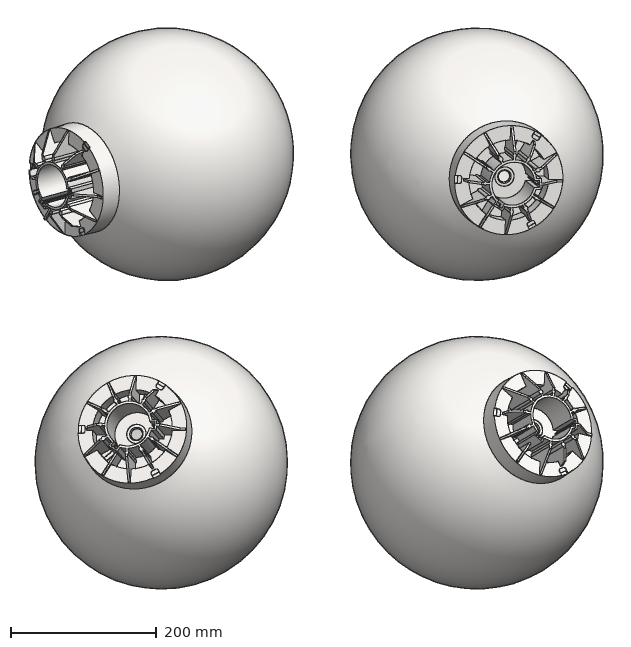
import cadquery as cq
import math


globe_diameter = 346.5
globe_radius = globe_diameter / 2
globe_wall = 3.0
seat_height = 157.0

overlap = 1.0

overall_length = 384.98
holder_tip = overall_length - globe_radius
ring_height = 186.0
collar_seat_radius = 77.1
ring_radius = 76.2
recess_radius = 56.0
floor_thickness = 4.0
floor_height = seat_height + floor_thickness
tube_height = holder_tip - floor_height

bore_radius = 30.0
tube_wall = 3.5
tube_radius = bore_radius + tube_wall
cable_hole_radius = 8.0
cable_hole_chamfer = 1.5
cable_seat_radius = 13.5
cable_seat_depth = 1.0

rib_count = 12
rib_pitch = 360 / rib_count
rib_thickness = 3.0
rib_tip_radius = 45.0
rib_end_radius = 75.5
rib_toe_height = 0.8
holder_turn = -3.3

short_ribs = (2, 6, 10)
short_rib_end_radius = 64.0
short_rib_shoulder_radius = 60.5

toe_rib = 0
toe_rib_tip_radius = 43.5
toe_rib_slope_radius = 67.5
low_rib = 8
low_height = 3.0

large_bead_radius = 3.0
small_bead_radius = 2.6
bead_position = 39.3
large_bead_ribs = (1, 4, 7, 10)

key_ribs = (toe_rib, low_rib)
key_width = 10.0
key_wall = 2.5
key_depth_radius = 37.0
key_fin_thickness = 1.5
key_fin_length = 4.0

notch_width = 11.0
notch_inner_radius = 66.5
notch_depth = 1.2
notch_corner_radius = 3.0
notch_step_radius = 72.0

flat_distance = 55.2
flat_angle = 225.0

bar_angles = (77.8, 222.0)
bar_width = 5.5
bar_height = 3.0


def at_angle(body, angle):
    return body.rotate((0, 0, 0), (0, 0, 1), angle)


def disc(radius, base, height):
    return cq.Workplane("XY").workplane(offset=base).circle(radius).extrude(height)


def radial_block(inner, outer, width, base, height):
    """Block along +X between two distances from the axis."""
    return (
        cq.Workplane("XY")
        .box(outer - inner, width, height, centered=(False, True, False))
        .translate((inner, 0, base))
    )


def make_globe():
    inner_radius = globe_radius - globe_wall
    outer_mouth = math.sqrt(globe_radius**2 - seat_height**2)
    inner_mouth = math.sqrt(inner_radius**2 - seat_height**2)
    return (
        cq.Workplane("XY")
        .moveTo(0, globe_radius)
        .radiusArc((-globe_radius, 0), -globe_radius)
        .radiusArc((-outer_mouth, -seat_height), -globe_radius)
        .lineTo(-inner_mouth, -seat_height)
        .radiusArc((-inner_radius, 0), inner_radius)
        .radiusArc((0, inner_radius), inner_radius)
        .close()
        .revolve(360, (0, 0, 0), (0, 1, 0))
    )


def make_collar():
    """Slightly tapered collar with a round recess down to the floor."""
    return (
        cq.Workplane("XZ")
        .moveTo(0, seat_height)
        .lineTo(collar_seat_radius, seat_height)
        .lineTo(ring_radius, ring_height)
        .lineTo(recess_radius, ring_height)
        .lineTo(recess_radius, floor_height)
        .lineTo(0, floor_height)
        .close()
        .revolve(360, (0, 0, 0), (0, 1, 0))
    )


def make_rib(outline):
    """Rib along +X; outline lists its (radius, height) points from the ring to the tube."""
    foot_radius = outline[0][0]
    return (
        cq.Workplane("XZ")
        .moveTo(bore_radius, floor_height)
        .lineTo(recess_radius, floor_height)
        .lineTo(recess_radius, ring_height)
        .lineTo(foot_radius, ring_height)
        .polyline(outline, includeCurrent=True)
        .lineTo(bore_radius, outline[-1][1])
        .close()
        .extrude(rib_thickness / 2, both=True)
    )


def rib_outline(index):
    toe_height = ring_height + rib_toe_height
    low_top = ring_height + low_height
    tip = (rib_tip_radius, holder_tip)
    if index == low_rib:
        return [(rib_end_radius, low_top)]
    if index == toe_rib:
        return [
            (rib_end_radius, low_top),
            (toe_rib_slope_radius, low_top),
            (toe_rib_tip_radius, holder_tip),
        ]
    if index in short_ribs:
        slope = (holder_tip - toe_height) / (rib_end_radius - rib_tip_radius)
        shoulder_height = toe_height + slope * (rib_end_radius - short_rib_shoulder_radius)
        return [
            (short_rib_end_radius, toe_height),
            (short_rib_shoulder_radius, shoulder_height),
            tip,
        ]
    return [(rib_end_radius, toe_height), tip]


def make_bead(radius):
    return disc(radius, floor_height, tube_height).translate((bead_position, 0, 0))


def make_notch():
    """Notch open to the ring edge, one step deeper near the edge."""
    past_edge = collar_seat_radius + overlap
    shallow = (
        radial_block(notch_inner_radius, past_edge, notch_width, ring_height - notch_depth, notch_depth)
        .edges("|Z and <X")
        .fillet(notch_corner_radius)
    )
    step = radial_block(notch_step_radius, past_edge, notch_width, ring_height - 2 * notch_depth, notch_depth)
    return shallow.union(step)


def add_ribs(holder):
    for index in range(rib_count):
        angle = index * rib_pitch
        holder = holder.union(at_angle(make_rib(rib_outline(index)), angle))
        if index not in key_ribs:
            bead_radius = large_bead_radius if index in large_bead_ribs else small_bead_radius
            holder = holder.union(at_angle(make_bead(bead_radius), angle))
    return holder


def add_recess_details(holder):
    """Flat stretch of the recess wall, and the low bars on the recess floor."""
    half_flat = math.sqrt(recess_radius**2 - flat_distance**2)
    flat_wall = radial_block(
        flat_distance, recess_radius + overlap, 2 * half_flat, floor_height, ring_height - floor_height
    )
    holder = holder.union(at_angle(flat_wall, flat_angle))

    bar = radial_block(bore_radius, recess_radius, bar_width, floor_height, bar_height)
    for angle in bar_angles:
        holder = holder.union(at_angle(bar, angle))
    return holder


def add_key_housings(holder):
    housing = radial_block(
        bore_radius, key_depth_radius + key_wall, key_width + 2 * key_wall, floor_height, tube_height
    )
    for index in key_ribs:
        holder = holder.union(at_angle(housing, index * rib_pitch))
    return holder


def cut_bore_and_keys(holder):
    """Bore down to the floor, with key channels that each leave a thin fin standing."""
    holder = holder.cut(disc(bore_radius, floor_height, tube_height))
    channel = radial_block(0, key_depth_radius, key_width, floor_height, tube_height)
    fin = radial_block(
        key_depth_radius - key_fin_length, key_depth_radius, key_fin_thickness, floor_height, tube_height
    )
    key = channel.cut(fin)
    for index in key_ribs:
        holder = holder.cut(at_angle(key, index * rib_pitch))
    return holder


def cut_cable_hole(holder):
    """Hole through the floor, with a shallow seat and a chamfered edge."""
    seat_floor = floor_height - cable_seat_depth
    hole = disc(cable_hole_radius, seat_height, floor_thickness)
    chamfer_cone = (
        cq.Workplane("XY")
        .workplane(offset=seat_floor - cable_hole_chamfer)
        .circle(cable_hole_radius)
        .workplane(offset=cable_hole_chamfer)
        .circle(cable_hole_radius + cable_hole_chamfer)
        .loft()
    )
    seat = disc(cable_seat_radius, seat_floor, cable_seat_depth)
    return holder.cut(hole).cut(chamfer_cone).cut(seat)


def make_holder():
    holder = make_collar().union(disc(tube_radius, floor_height, tube_height))
    holder = add_ribs(holder)
    holder = add_recess_details(holder)
    holder = add_key_housings(holder)
    holder = cut_bore_and_keys(holder)
    holder = cut_cable_hole(holder)
    notch = make_notch()
    for index in short_ribs:
        holder = holder.cut(at_angle(notch, index * rib_pitch))
    return at_angle(holder, holder_turn).rotate((0, 0, 0), (1, 0, 0), 90)


globe = make_globe()
holder = make_holder()
result = cq.Compound.makeCompound([globe.val(), holder.val()])